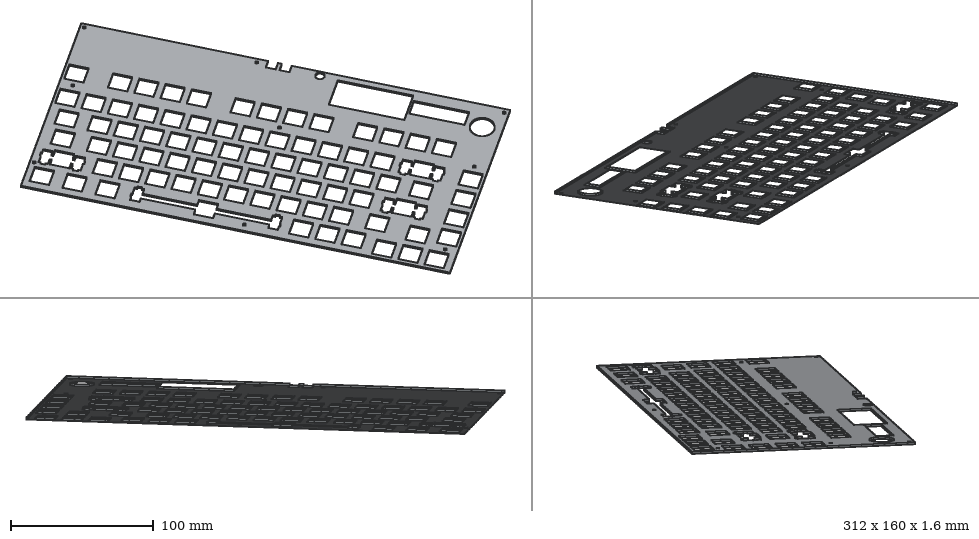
import cadquery as cq

PLATE_LENGTH = 312.0
PLATE_WIDTH = 160.0
PLATE_THICKNESS = 1.6

MAIN_BLOCK_WIDTH = 286.5
MAIN_BLOCK_UNITS = 15
KEY_PITCH = MAIN_BLOCK_WIDTH / MAIN_BLOCK_UNITS
SWITCH_SIZE = 14.0
FIRST_COLUMN_X = -146.7
NUMBER_ROW_INSET = 70.8
NUMBER_ROW_Y = PLATE_WIDTH / 2 - NUMBER_ROW_INSET
FUNCTION_ROW_GAP = 1.25

SIDE_COLUMN = -2 * FIRST_COLUMN_X / KEY_PITCH
SIDE_COLUMN_ROWS = 4
ARROW_OFFSET = 3.0
ARROW_SHIFT = ARROW_OFFSET / KEY_PITCH
ARROW_KEYS = 3
ARROW_COLUMN = SIDE_COLUMN - ARROW_SHIFT - (ARROW_KEYS - 1)

FUNCTION_ROW = -FUNCTION_ROW_GAP
KEY_RUNS = [
    (FUNCTION_ROW, 0, 1),
    (FUNCTION_ROW, 5 / 3, 4),
    (FUNCTION_ROW, 19 / 3, 4),
    (FUNCTION_ROW, 11, 4),
    (0, 0, 13),
    (1, 0.25, 1),
    (1, 1.5, 12),
    (1, 13.75, 1),
    (2, 0.375, 1),
    (2, 1.75, 11),
    (3, 2.25, 10),
    (3, 12.625, 1),
    (4, 0.125, 1),
    (4, 1.375, 1),
    (4, 2.625, 1),
    (4, 10, 3),
    (3 + ARROW_SHIFT, ARROW_COLUMN + 1, 1),
    (4 + ARROW_SHIFT, ARROW_COLUMN, ARROW_KEYS),
]

STABILIZER_REACH = 12.0
SPACE_BAR_REACH = 50.2
LONG_KEYS = [(0, 13.5), (2, 13.375), (3, 0.625)]
SPACE_BAR = (4, 6.375)

STABILIZER_WIDTH = 7.0
STABILIZER_TOP = 5.5
STABILIZER_BOTTOM = -7.0
FOOT_WIDTH = 3.5
FOOT_BOTTOM = -8.0
EAR_LENGTH = 0.8
EAR_TOP = 2.3
EAR_BOTTOM = -0.5
WIRE_SLOT_WIDTH = 4.7

WINDOWS = [
    (59.3, 63.5, 55.0, 24.0),
    (108.5, 64.3, 40.3, 12.5),
]

KNOB_DIAMETER = 17.5
KNOB_CENTER = (141.5, 59.3)
CABLE_HOLE_DIAMETER = 6.5
CABLE_HOLE_CENTER = (18.7, 76.0)
SCREW_DIAMETER = 2.2
SCREW_CENTERS = [
    (-153.0, 76.8),
    (-27.5, 76.8),
    (152.5, 76.5),
    (-146.0, 21.5),
    (4.5, 21.2),
    (146.0, 21.5),
    (-153.0, -56.2),
    (147.0, -59.5),
    (5.0, -74.3),
]

NOTCH_WIDTH = 7.2
NOTCH_DEPTH = 6.2
NOTCH_CENTERS_X = [-16.5, -6.5]


def key_center(row, column):
    return (FIRST_COLUMN_X + column * KEY_PITCH, NUMBER_ROW_Y - row * KEY_PITCH)


def box_between(x_min, x_max, y_min, y_max):
    """Cutter through the full plate thickness over the given rectangle."""
    length = x_max - x_min
    width = y_max - y_min
    return cq.Workplane("XY").box(length, width, PLATE_THICKNESS, centered=False).translate((x_min, y_min, 0))


def cut_holes(plate, centers, diameter):
    return plate.cut(cq.Workplane("XY").pushPoints(centers).circle(diameter / 2).extrude(PLATE_THICKNESS))


def stabilizer_cutter(reach):
    """Right-hand stabilizer of a key centred on the origin, with its half of the wire slot."""
    half_width = STABILIZER_WIDTH / 2
    housing = box_between(reach - half_width, reach + half_width, STABILIZER_BOTTOM, STABILIZER_TOP)
    foot = box_between(reach - FOOT_WIDTH / 2, reach + FOOT_WIDTH / 2, FOOT_BOTTOM, 0)
    ear = box_between(reach, reach + half_width + EAR_LENGTH, EAR_BOTTOM, EAR_TOP)
    wire_slot = box_between(0, reach, -WIRE_SLOT_WIDTH / 2, WIRE_SLOT_WIDTH / 2)
    return housing.union(foot).union(ear).union(wire_slot)


def long_key_cutter(row, column, reach, turned=False):
    """Switch opening with a mirrored pair of stabilizers; turned puts the feet to the rear."""
    half_switch = SWITCH_SIZE / 2
    right_side = stabilizer_cutter(reach)
    cutter = right_side.union(right_side.mirror("YZ"))
    cutter = cutter.union(box_between(-half_switch, half_switch, -half_switch, half_switch))
    if turned:
        cutter = cutter.rotate((0, 0, 0), (0, 0, 1), 180)
    x, y = key_center(row, column)
    return cutter.translate((x, y, 0))


plate = cq.Workplane("XY").box(PLATE_LENGTH, PLATE_WIDTH, PLATE_THICKNESS, centered=(True, True, False))

switch_centers = [key_center(row, first + i) for row, first, count in KEY_RUNS for i in range(count)]
switch_centers += [key_center(row, SIDE_COLUMN) for row in range(SIDE_COLUMN_ROWS)]
switches = cq.Workplane("XY").pushPoints(switch_centers).rect(SWITCH_SIZE, SWITCH_SIZE)
plate = plate.cut(switches.extrude(PLATE_THICKNESS))

for row, column in LONG_KEYS:
    plate = plate.cut(long_key_cutter(row, column, STABILIZER_REACH))
plate = plate.cut(long_key_cutter(*SPACE_BAR, SPACE_BAR_REACH, turned=True))

for x, y, length, width in WINDOWS:
    plate = plate.cut(box_between(x - length / 2, x + length / 2, y - width / 2, y + width / 2))

plate = cut_holes(plate, [KNOB_CENTER], KNOB_DIAMETER)
plate = cut_holes(plate, [CABLE_HOLE_CENTER], CABLE_HOLE_DIAMETER)
plate = cut_holes(plate, SCREW_CENTERS, SCREW_DIAMETER)

rear_y = PLATE_WIDTH / 2
for x in NOTCH_CENTERS_X:
    plate = plate.cut(box_between(x - NOTCH_WIDTH / 2, x + NOTCH_WIDTH / 2, rear_y - NOTCH_DEPTH, rear_y))

result = plate